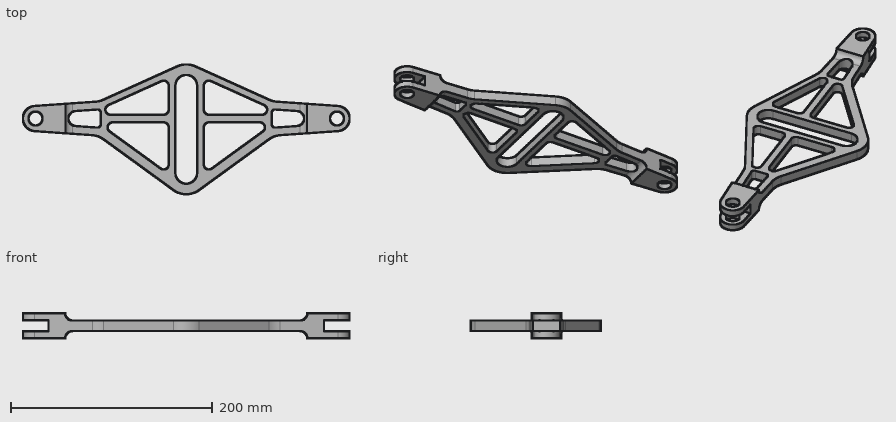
import cadquery as cq
import math

length = 325.0
height = 25.0
plate_thickness = 10.7

eye_radius = 12.7
eye_hole_diameter = 13.5
fork_gap = 10.7
fork_depth = 25.5
clevis_length = 42.2
eye_x = length / 2 - eye_radius
shoulder_radius = (height - plate_thickness) / 2

slot_radius = 10.7
slot_top_y = 32.5
slot_bottom_y = -54.0
corner_radius = slot_radius + 10.7

arm_angle = 4.0
upper_angle = 24.3
lower_angle = 36.0
neck_radius = 21.0

rib_half_width = 4.0
pocket_inner_x = slot_radius + 6.8
upper_wall = 7.0
lower_wall = 10.0
pocket_radius = 5.0
arm_wall = 8.0
window_inner_x = 85.0
window_outer_x = 117.0
window_corner_radius = 3.0


def slope(angle):
    return math.tan(math.radians(angle))


def crown(y, radius, angle):
    """Height on the Y axis where a sloped tangent to a corner circle meets it."""
    return y + math.copysign(radius / math.cos(math.radians(angle)), y)


def arm_edge(x, inset=0.0):
    """Half width of the tapered arm at x, moved inward by inset."""
    half_width_at_eye = (eye_radius - inset) / math.cos(math.radians(arm_angle))
    return half_width_at_eye + (eye_x - x) * slope(arm_angle)


def neck_x(crown_height, angle):
    """X position where the arm edge meets a frame edge."""
    return (crown_height - arm_edge(0)) / (slope(angle) - slope(arm_angle))


def extrude_centred(sketch, thickness):
    return sketch.extrude(thickness / 2, both=True)


def both_ends(shape):
    """Join a right-hand shape with its mirror image at the left end."""
    return shape.union(shape.mirror("YZ"))


def round_corner(blank, x, y, radius):
    """Fillet the vertical edge at (x, y)."""
    corner = cq.selectors.NearestToPointSelector((x, y, 0))
    return blank.edges("|Z").edges(corner).fillet(radius)


def make_outline():
    """Full-height blank: a kite-shaped frame with a tapered arm at each end."""
    top = crown(slot_top_y, corner_radius, upper_angle)
    bottom = crown(slot_bottom_y, corner_radius, lower_angle)
    upper_x = neck_x(top, upper_angle)
    lower_x = neck_x(-bottom, lower_angle)
    tangent_x = eye_x + eye_radius * math.sin(math.radians(arm_angle))
    tangent_y = eye_radius * math.cos(math.radians(arm_angle))
    sketch = (
        cq.Workplane("XY")
        .moveTo(0, top)
        .lineTo(upper_x, arm_edge(upper_x))
        .lineTo(tangent_x, tangent_y)
        .threePointArc((length / 2, 0), (tangent_x, -tangent_y))
        .lineTo(lower_x, -arm_edge(lower_x))
        .lineTo(0, bottom)
        .lineTo(-lower_x, -arm_edge(lower_x))
        .lineTo(-tangent_x, -tangent_y)
        .threePointArc((-length / 2, 0), (-tangent_x, tangent_y))
        .lineTo(-upper_x, arm_edge(upper_x))
        .close()
    )
    blank = extrude_centred(sketch, height)
    for y in (top, bottom):
        blank = round_corner(blank, 0, y, corner_radius)
    for side in (-1, 1):
        blank = round_corner(blank, side * upper_x, arm_edge(upper_x), neck_radius)
        blank = round_corner(blank, side * lower_x, -arm_edge(lower_x), neck_radius)
    return blank


def make_side_profile():
    """Thin plate between two thick forks, with concave quarter-round shoulders."""
    shoulder_x = length / 2 - clevis_length
    plate_x = shoulder_x - shoulder_radius
    half_plate = plate_thickness / 2
    half_height = height / 2
    bend = shoulder_radius * math.sqrt(0.5)
    upper_half = (
        cq.Workplane("XZ")
        .lineTo(0, half_plate)
        .lineTo(plate_x, half_plate)
        .threePointArc((plate_x + bend, half_height - bend), (shoulder_x, half_height))
        .lineTo(length / 2, half_height)
        .lineTo(length / 2, fork_gap / 2)
        .lineTo(length / 2 - fork_depth, fork_gap / 2)
        .lineTo(length / 2 - fork_depth, 0)
        .close()
    )
    quarter = extrude_centred(upper_half, length)
    return both_ends(quarter.union(quarter.mirror("XY")))


def make_pocket(side, slot_end_y, angle, wall):
    """Triangular pocket above (side 1) or below (side -1) the middle rib."""
    edge_crown = abs(crown(slot_end_y, corner_radius - wall, angle))
    tip_x = (edge_crown - rib_half_width) / slope(angle)
    inner_y = edge_crown - pocket_inner_x * slope(angle)
    sketch = cq.Workplane("XY").polyline([
        (pocket_inner_x, side * rib_half_width),
        (tip_x, side * rib_half_width),
        (pocket_inner_x, side * inner_y),
    ]).close()
    return both_ends(extrude_centred(sketch, height).edges("|Z").fillet(pocket_radius))


def make_window():
    """Tapered arm window with a round outer end and two rounded inner corners."""
    sine = math.sin(math.radians(arm_angle))
    end_radius = (eye_radius - arm_wall + (eye_x - window_outer_x) * sine) / (1 - sine)
    centre_x = window_outer_x - end_radius
    tangent_x = centre_x + end_radius * sine
    tangent_y = end_radius * math.cos(math.radians(arm_angle))
    inner_y = arm_edge(window_inner_x, arm_wall)
    sketch = (
        cq.Workplane("XY")
        .moveTo(window_inner_x, -inner_y)
        .lineTo(tangent_x, -tangent_y)
        .threePointArc((window_outer_x, 0), (tangent_x, tangent_y))
        .lineTo(window_inner_x, inner_y)
        .close()
    )
    window = extrude_centred(sketch, height)
    return both_ends(window.faces("<X").edges("|Z").fillet(window_corner_radius))


def make_slot():
    """Long round-ended slot across the middle of the frame."""
    slot_length = slot_top_y - slot_bottom_y + 2 * slot_radius
    sketch = (
        cq.Workplane("XY")
        .center(0, (slot_top_y + slot_bottom_y) / 2)
        .slot2D(slot_length, 2 * slot_radius, 90)
    )
    return extrude_centred(sketch, height)


def make_eye_holes():
    sketch = cq.Workplane("XY").pushPoints([(-eye_x, 0), (eye_x, 0)]).circle(eye_hole_diameter / 2)
    return extrude_centred(sketch, height)


result = (
    make_outline()
    .intersect(make_side_profile())
    .cut(make_slot())
    .cut(make_pocket(1, slot_top_y, upper_angle, upper_wall))
    .cut(make_pocket(-1, slot_bottom_y, lower_angle, lower_wall))
    .cut(make_window())
    .cut(make_eye_holes())
)